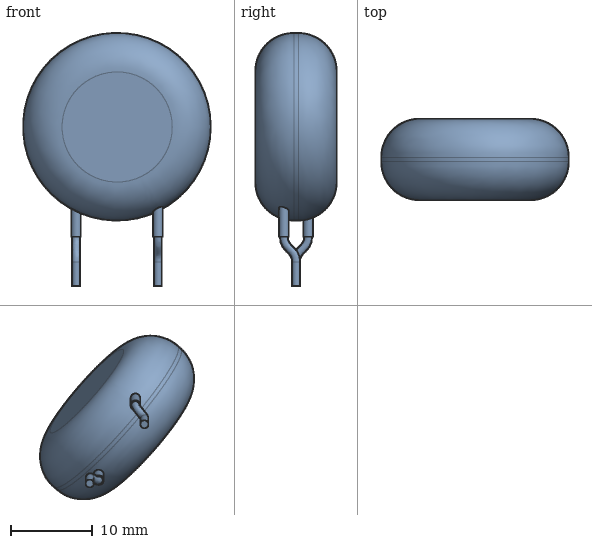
import cadquery as cq

height = 31.0
body_diameter = 23.0
body_thickness = 10.0
rim_width = 0.5
body_radius = body_diameter / 2
edge_radius = (body_thickness - rim_width) / 2

lead_spacing = 10.0
lead_offset = 1.5
sleeve_diameter = 1.2
wire_diameter = 1.0
tip_length = 3.0
kink_height = 3.0
sleeve_top = -7.75

wire_end = body_radius - height
kink_bottom = wire_end + tip_length
sleeve_bottom = kink_bottom + kink_height


def make_body():
    back_plane = cq.Workplane("XZ", origin=(0, body_thickness / 2, 0))
    disc = back_plane.circle(body_radius).extrude(body_thickness)
    return disc.faces("<Y or >Y").edges().fillet(edge_radius)


def make_lead(x, side):
    """Sleeved lead that starts at side * lead_offset in Y and curves smoothly back to Y = 0."""
    lead_y = side * lead_offset
    downward = (0, -1)
    path = (
        cq.Workplane("YZ", origin=(x, 0, 0))
        .moveTo(lead_y, sleeve_top)
        .lineTo(lead_y, sleeve_bottom)
        .spline([(0, kink_bottom)], tangents=[downward, downward], includeCurrent=True)
        .lineTo(0, wire_end)
    )
    start = cq.Workplane("XY", origin=(x, lead_y, sleeve_top))
    wire = start.circle(wire_diameter / 2).sweep(path)
    sleeve = start.circle(sleeve_diameter / 2).extrude(sleeve_bottom - sleeve_top)
    return wire.union(sleeve)


result = make_body()
for side in (-1, 1):
    result = result.union(make_lead(-side * lead_spacing / 2, side))